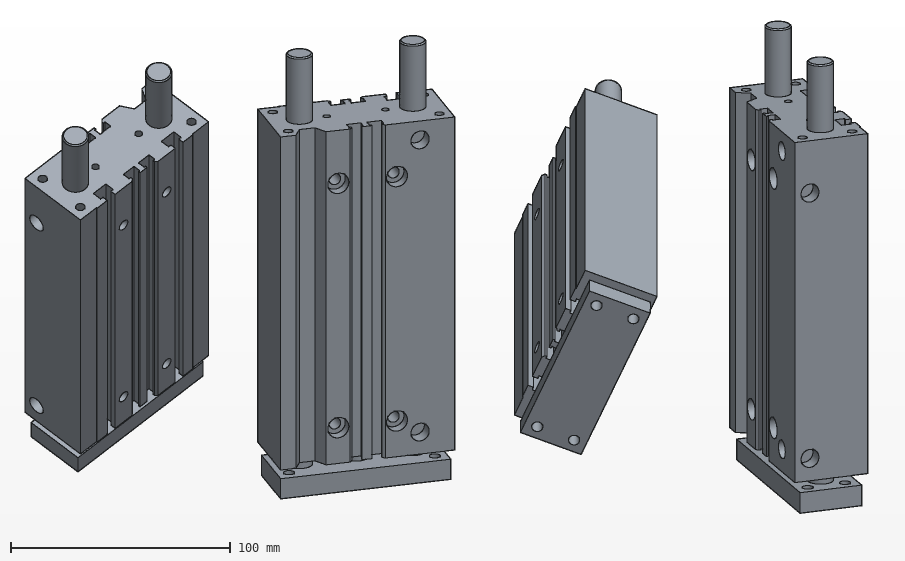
import cadquery as cq


plate_width = 30.0
plate_length = 81.0
plate_thickness = 10.0
plate_hole_diameter = 5.0
plate_hole_x = 9.0
plate_hole_y = 34.7
guide_rod_diameter = 12.0
guide_rod_spacing = 54.0
guide_rod_y = guide_rod_spacing / 2
guide_rod_chamfer = 0.6
piston_rod_diameter = 10.0
piston_rod_insertion = 31.7

total_height = 211.5
housing_width = 36.0
housing_length = 83.0
housing_height = 163.5
housing_gap = 5.5
housing_bottom = plate_thickness + housing_gap
housing_top = housing_bottom + housing_height
side_x = housing_width / 2
end_y = housing_length / 2

pad_height = 0.5
pad_half_length = 31.0

channel_depth = 6.1
channel_mouth = 14.4
channel_floor = 7.5

t_slot_y = 22.0
t_slot_mouth = 5.0
t_slot_inner_width = 8.0
t_slot_lip = 2.7
t_slot_depth = 7.5

rib_half_width = 2.3
rib_inset = 1.0
groove_edge_y = 7.2
groove_chamfer_y = 8.5
groove_inner_near_y = 1.5
groove_inner_far_y = 8.2
groove_lip_depth = 2.1
groove_depth = 5.7

mount_y = 14.0
mount_spacing_z = 120.0
mount_lowest_z = housing_bottom + 17.5
mount_diameter = 5.5
mount_bore_diameter = 10.0
mount_bore_depth = 5.5

port_diameter = 8.7
port_depth = 7.6
lower_port_z = housing_bottom + 10.8
side_port_y = -25.0
side_port_heights = (lower_port_z, housing_top - 9.3)
end_port_x = -10.5
end_port_heights = (lower_port_z, housing_top - 25.2)

corner_hole_diameter = 4.2
corner_hole_x = 12.0
corner_hole_y = 36.0
corner_hole_depth = 10.5
top_hole_diameter = 3.4
top_hole_y = mount_y
top_hole_depth = 8.5


def rod(x, y, bottom, diameter, height):
    """Upright cylinder, used both for rods and for the holes that hold them."""
    return cq.Workplane("XY", origin=(x, y, bottom)).circle(diameter / 2).extrude(height)


def bar_along_z(points):
    """Prism over the full height of the housing with the given XY outline."""
    return cq.Workplane("XY", origin=(0, 0, housing_bottom)).polyline(points).close().extrude(housing_height)


def cylinder_along_x(y, z, diameter, length):
    """Cylinder that starts at the -X side of the housing and runs toward +X."""
    plane = cq.Workplane("YZ", origin=(-side_x, 0, 0))
    return plane.center(y, z).circle(diameter / 2).extrude(length)


def channel():
    floor_x = channel_depth - side_x
    return bar_along_z([
        (-side_x, guide_rod_y - channel_mouth / 2),
        (floor_x, guide_rod_y - channel_floor / 2),
        (floor_x, guide_rod_y + channel_floor / 2),
        (-side_x, guide_rod_y + channel_mouth / 2),
    ])


def t_slot(y):
    mouth = t_slot_mouth / 2
    inner = t_slot_inner_width / 2
    lip_x = side_x - t_slot_lip
    floor_x = side_x - t_slot_depth
    return bar_along_z([
        (side_x, y - mouth),
        (lip_x, y - mouth),
        (lip_x, y - inner),
        (floor_x, y - inner),
        (floor_x, y + inner),
        (lip_x, y + inner),
        (lip_x, y + mouth),
        (side_x, y + mouth),
    ])


def sensor_groove(side, end):
    """One half of a twin groove; side is the sign along X, end the sign along Y."""
    face_x = side_x
    rib_x = side_x - rib_inset
    lip_x = side_x - groove_lip_depth
    floor_x = side_x - groove_depth
    outline = [
        (face_x, 0),
        (rib_x, 0),
        (rib_x, rib_half_width),
        (lip_x, rib_half_width),
        (lip_x, groove_inner_near_y),
        (floor_x, groove_inner_near_y),
        (floor_x, groove_inner_far_y),
        (lip_x, groove_inner_far_y),
        (lip_x, groove_edge_y),
        (rib_x, groove_edge_y),
        (face_x, groove_chamfer_y),
    ]
    return bar_along_z([(side * x, end * y) for x, y in outline])


def make_block():
    ledge_x = side_x - pad_height
    return bar_along_z([
        (-side_x, -end_y),
        (ledge_x, -end_y),
        (ledge_x, -pad_half_length),
        (side_x, -pad_half_length),
        (side_x, pad_half_length),
        (ledge_x, pad_half_length),
        (ledge_x, end_y),
        (-side_x, end_y),
    ])


def make_housing():
    housing = make_block().cut(channel())

    for end in (-1, 1):
        housing = housing.cut(t_slot(end * t_slot_y))
        for side in (-1, 1):
            housing = housing.cut(sensor_groove(side, end))

    for end in (-1, 1):
        for z in (mount_lowest_z, mount_lowest_z + mount_spacing_z):
            housing = housing.cut(cylinder_along_x(end * mount_y, z, mount_diameter, housing_width))
            housing = housing.cut(cylinder_along_x(end * mount_y, z, mount_bore_diameter, mount_bore_depth))

    for z in side_port_heights:
        housing = housing.cut(cylinder_along_x(side_port_y, z, port_diameter, port_depth))
    end_plane = cq.Workplane("XZ", origin=(0, -end_y, 0))
    for z in end_port_heights:
        port = end_plane.center(end_port_x, z).circle(port_diameter / 2).extrude(-port_depth)
        housing = housing.cut(port)

    for end in (-1, 1):
        start = housing_top - top_hole_depth
        housing = housing.cut(rod(0, end * top_hole_y, start, top_hole_diameter, top_hole_depth))
        for side in (-1, 1):
            start = housing_top - corner_hole_depth
            corner = rod(side * corner_hole_x, end * corner_hole_y, start, corner_hole_diameter, corner_hole_depth)
            housing = housing.cut(corner)

    for end in (-1, 1):
        housing = housing.cut(rod(0, end * guide_rod_y, housing_bottom, guide_rod_diameter, housing_height))
    return housing.cut(rod(0, 0, housing_bottom, piston_rod_diameter, piston_rod_insertion))


def make_sliding_frame():
    frame = cq.Workplane("XY").box(plate_width, plate_length, plate_thickness, centered=(True, True, False))
    for end in (-1, 1):
        for side in (-1, 1):
            hole = rod(side * plate_hole_x, end * plate_hole_y, 0, plate_hole_diameter, plate_thickness)
            frame = frame.cut(hole)

    guide_rod_length = total_height - plate_thickness
    for end in (-1, 1):
        guide_rod = rod(0, end * guide_rod_y, plate_thickness, guide_rod_diameter, guide_rod_length)
        frame = frame.union(guide_rod.faces(">Z").chamfer(guide_rod_chamfer))

    piston_rod_length = housing_gap + piston_rod_insertion
    return frame.union(rod(0, 0, plate_thickness, piston_rod_diameter, piston_rod_length))


housing = make_housing()
sliding_frame = make_sliding_frame()
result = cq.Compound.makeCompound([housing.val(), sliding_frame.val()])